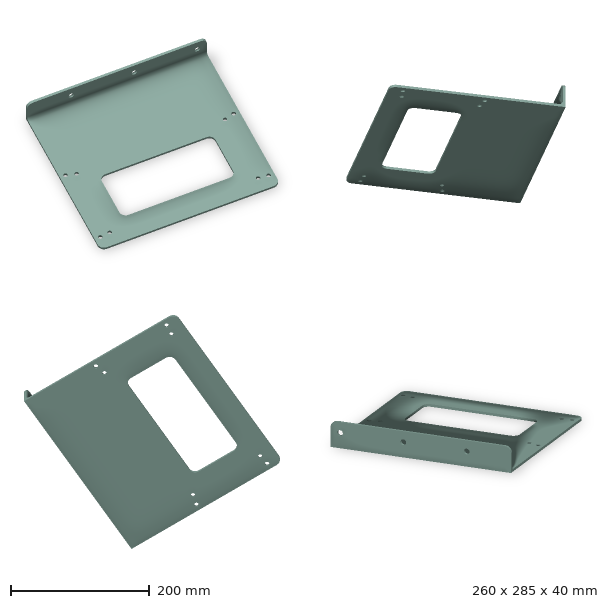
import cadquery as cq
import math

length = 260.0
width = 285.0
height = 40.0
thickness = 4.0
bend_outer_radius = 10.0
bend_inner_radius = bend_outer_radius - thickness
corner_radius = 10.0

window_length = 80.0
window_width = 180.0
window_end_margin = 40.0
window_center_x = length - window_end_margin - window_length / 2

outer_hole_diameter = 6.5
outer_hole_xs = (117.7, 239.5)
outer_hole_y = 133.5
inner_hole_diameter = 6.3
inner_hole_xs = (122.0, 237.5)
inner_hole_y = 117.7

flange_hole_diameter = 8.8
flange_hole_height = 23.0
flange_hole_count = 3
flange_hole_pitch = 100.0
flange_hole_end_margin = 15.0

bend_outer_mid = bend_outer_radius * (1 - math.sqrt(0.5))
bend_inner_mid = bend_outer_radius - bend_inner_radius * math.sqrt(0.5)


def bent_sheet():
    """L-shaped sheet with a rounded bend and rounded free corners."""
    sheet = (
        cq.Workplane("XZ")
        .moveTo(bend_outer_radius, 0)
        .lineTo(length, 0)
        .lineTo(length, thickness)
        .lineTo(bend_outer_radius, thickness)
        .threePointArc((bend_inner_mid, bend_inner_mid), (thickness, bend_outer_radius))
        .lineTo(thickness, height)
        .lineTo(0, height)
        .lineTo(0, bend_outer_radius)
        .threePointArc((bend_outer_mid, bend_outer_mid), (bend_outer_radius, 0))
        .close()
        .extrude(width / 2, both=True)
    )
    sheet = sheet.faces(">X").edges("|Z").fillet(corner_radius)
    return sheet.faces(">Z").edges("|X").fillet(corner_radius)


def window_cutter():
    """Rounded rectangular opening through the plate."""
    return (
        cq.Workplane("XY")
        .center(window_center_x, 0)
        .rect(window_length, window_width)
        .extrude(thickness)
        .edges("|Z")
        .fillet(corner_radius)
    )


def plate_hole_cutter(hole_xs, hole_y, diameter):
    """Four plate holes, mirrored across the middle of the width."""
    points = [(x, side * hole_y) for x in hole_xs for side in (-1, 1)]
    return cq.Workplane("XY").pushPoints(points).circle(diameter / 2).extrude(thickness)


def flange_hole_cutter():
    """Evenly spaced holes through the upright flange."""
    first_y = width / 2 - flange_hole_end_margin
    points = [(first_y - i * flange_hole_pitch, flange_hole_height) for i in range(flange_hole_count)]
    return cq.Workplane("YZ").pushPoints(points).circle(flange_hole_diameter / 2).extrude(thickness)


def make_bracket():
    """Bent sheet with its window and all its holes."""
    return (
        bent_sheet()
        .cut(window_cutter())
        .cut(plate_hole_cutter(outer_hole_xs, outer_hole_y, outer_hole_diameter))
        .cut(plate_hole_cutter(inner_hole_xs, inner_hole_y, inner_hole_diameter))
        .cut(flange_hole_cutter())
    )


def make_corner_bar():
    """Bar that fills the outside of the bend out to a square corner."""
    return (
        cq.Workplane("XZ")
        .moveTo(0, 0)
        .lineTo(bend_outer_radius, 0)
        .threePointArc((bend_outer_mid, bend_outer_mid), (0, bend_outer_radius))
        .close()
        .extrude(width / 2, both=True)
    )


bracket = make_bracket()
corner_bar = make_corner_bar()

result = cq.Compound.makeCompound([bracket.val(), corner_bar.val()])